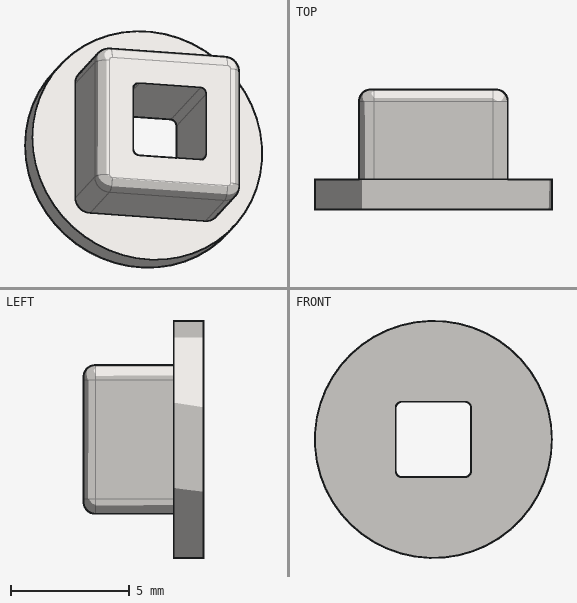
import cadquery as cq

flange_diameter = 10.033
flange_thickness = 1.27
total_length = 5.08

plug_width = 6.2992
plug_corner_radius = 0.635
plug_end_radius = 0.508

hole_width = 3.175
hole_corner_radius = 0.254


def square_bar(width, corner_radius, length):
    """Square bar along +Y from the flange's front face, with rounded long edges."""
    bar = cq.Workplane("XZ").rect(width, width).extrude(-length)
    return bar.edges("|Y").fillet(corner_radius)


def make_flange():
    return cq.Workplane("XZ").circle(flange_diameter / 2).extrude(-flange_thickness)


def make_plug():
    plug = square_bar(plug_width, plug_corner_radius, total_length)
    return plug.faces(">Y").edges().fillet(plug_end_radius)


def make_hole():
    return square_bar(hole_width, hole_corner_radius, total_length)


result = make_flange().union(make_plug()).cut(make_hole())